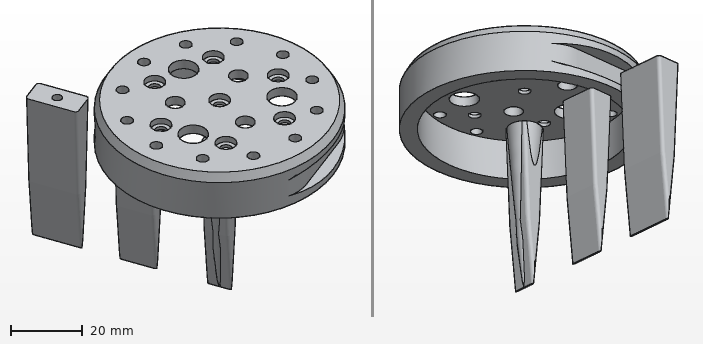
import cadquery as cq
import math


overall_length = 93.0
disc_diameter = 70.0
disc_radius = disc_diameter / 2
disc_height = 15.0
rim_chamfer_width = 1.5
rim_chamfer_height = rim_chamfer_width * math.tan(math.radians(60))
wall_height = disc_height - rim_chamfer_height
plate_thickness = 3.0
cavity_diameter = 59.9

letter_hole_diameter = 3.5
letter_hole_count = 12
letter_circle_radius = 27.5
letter_start_angle = 180 / letter_hole_count
screw_hole_diameter = 3.5
screw_head_diameter = 6.0
screw_head_depth = 1.95
screw_hole_count = 6
screw_circle_radius = 20.0
small_hole_diameter = 5.5
small_circle_radius = 12.5
large_hole_diameter = 8.5
large_circle_radius = 17.5
trio_count = 3
small_start_angle = 90
large_start_angle = 30

grip_floor_x = 31.7
grip_flat_half_length = 10.5
grip_end_radius = 17.2
grip_end_angle = 35.0
grip_rim_half_height = 4.2
grip_flank_angle = 15.0
grip_clearance = 1.9

tool_length = 50.0
blade_top_thickness = 8.0
blade_knee_depth = 29.9
blade_knee_thickness = 5.0
blade_tip_thickness = 0.5
blade_edge_radius = 1.0
wide_blade_width = 16.0
medium_blade_width = 12.1
narrow_blade_width = 8.0
blade_spacing = (overall_length - disc_radius - wide_blade_width / 2) / 2
pilot_diameter = 2.9
pilot_depth = 10.0

spike_top_diameter = 10.0
spike_knee_depth = 36.3
spike_knee_diameter = 4.3
spike_nose_depth = 47.8
spike_nose_diameter = 1.4
spike_tip_diameter = 0.4


def drill(diameter, top_z, depth, points):
    """Vertical cylinders that start at top_z and go down."""
    return cq.Workplane("XY", origin=(0, 0, top_z)).pushPoints(points).circle(diameter / 2).extrude(-depth)


def ring_points(radius, count, start_angle):
    """Evenly spaced points on a circle around the disc axis."""
    angles = [math.radians(start_angle + 360 * i / count) for i in range(count)]
    return [(radius * math.cos(a), radius * math.sin(a)) for a in angles]


def make_grip_cutter():
    """Finger grip on the +X side: a flat floor that rolls off at both ends, with flared flanks."""
    outer_x = disc_radius + grip_clearance
    angle = math.radians(grip_end_angle)

    def roll_off(turn):
        x = grip_floor_x - grip_end_radius * (1 - math.cos(turn))
        y = grip_flat_half_length + grip_end_radius * math.sin(turn)
        return x, y

    mid_x, mid_y = roll_off(angle / 2)
    end_x, end_y = roll_off(angle)
    plan = (
        cq.Workplane("XY")
        .moveTo(grip_floor_x, -grip_flat_half_length)
        .lineTo(grip_floor_x, grip_flat_half_length)
        .threePointArc((mid_x, mid_y), (end_x, end_y))
        .lineTo(outer_x, end_y)
        .lineTo(outer_x, -end_y)
        .lineTo(end_x, -end_y)
        .threePointArc((mid_x, -mid_y), (grip_floor_x, -grip_flat_half_length))
        .close()
        .extrude(wall_height)
    )

    slope = math.tan(math.radians(grip_flank_angle))
    inner_half = grip_rim_half_height - slope * (disc_radius - end_x)
    outer_half = grip_rim_half_height + slope * grip_clearance
    middle_z = wall_height / 2
    flare = (
        cq.Workplane("XZ")
        .polyline([
            (end_x, middle_z - inner_half),
            (outer_x, middle_z - outer_half),
            (outer_x, middle_z + outer_half),
            (end_x, middle_z + inner_half),
        ])
        .close()
        .extrude(end_y, both=True)
    )
    return plan.intersect(flare)


def make_disc():
    top_radius = disc_radius - rim_chamfer_width
    cavity_radius = cavity_diameter / 2
    plate_bottom = disc_height - plate_thickness
    disc = (
        cq.Workplane("XZ")
        .polyline([
            (0, plate_bottom),
            (cavity_radius, plate_bottom),
            (cavity_radius, 0),
            (disc_radius, 0),
            (disc_radius, wall_height),
            (top_radius, disc_height),
            (0, disc_height),
        ])
        .close()
        .revolve(360, (0, 0, 0), (0, 1, 0))
    )

    letter_points = ring_points(letter_circle_radius, letter_hole_count, letter_start_angle)
    small_points = ring_points(small_circle_radius, trio_count, small_start_angle)
    large_points = ring_points(large_circle_radius, trio_count, large_start_angle)
    disc = disc.cut(drill(letter_hole_diameter, disc_height, plate_thickness, letter_points))
    disc = disc.cut(drill(small_hole_diameter, disc_height, plate_thickness, small_points))
    disc = disc.cut(drill(large_hole_diameter, disc_height, plate_thickness, large_points))

    screw_points = [(0, 0)] + ring_points(screw_circle_radius, screw_hole_count, 0)
    disc = disc.cut(drill(screw_hole_diameter, disc_height, plate_thickness, screw_points))
    disc = disc.cut(drill(screw_head_diameter, disc_height, screw_head_depth, screw_points))

    grip = make_grip_cutter()
    return disc.cut(grip).cut(grip.mirror("YZ"))


def make_blade_half(width):
    """Blade bounded by its sloped -Y face only, with the two vertical edges of that face rounded."""
    half_width = width / 2
    radius = blade_edge_radius
    diagonal = radius * (1 - math.sqrt(0.5))
    sections = [
        (0, blade_top_thickness),
        (-blade_knee_depth, blade_knee_thickness),
        (-tool_length, blade_tip_thickness),
    ]
    wires = []
    for z, thickness in sections:
        front = -thickness / 2
        back = front + blade_top_thickness
        outline = (
            cq.Workplane("XY", origin=(0, 0, z))
            .moveTo(-half_width + radius, front)
            .lineTo(half_width - radius, front)
            .threePointArc((half_width - diagonal, front + diagonal), (half_width, front + radius))
            .lineTo(half_width, back)
            .lineTo(-half_width, back)
            .lineTo(-half_width, front + radius)
            .threePointArc((-half_width + diagonal, front + diagonal), (-half_width + radius, front))
            .close()
        )
        wires.append(outline.val())
    return cq.Workplane(cq.Solid.makeLoft(wires, True))


def make_blade(width):
    """Two-stage wedge with rounded edges, centred on the Z axis."""
    half = make_blade_half(width)
    return half.intersect(half.mirror("XZ"))


def make_screwed_blade(width, x):
    """Blade with a screw pilot hole in its top, standing at x."""
    blade = make_blade(width).cut(drill(pilot_diameter, 0, pilot_depth, [(0, 0)]))
    return blade.translate((x, 0, 0))


def make_spike_body():
    """Round spike in three conical stages."""
    return (
        cq.Workplane("XZ")
        .polyline([
            (0, 0),
            (spike_top_diameter / 2, 0),
            (spike_knee_diameter / 2, -spike_knee_depth),
            (spike_nose_diameter / 2, -spike_nose_depth),
            (spike_tip_diameter / 2, -tool_length),
            (0, -tool_length),
        ])
        .close()
        .revolve(360, (0, 0, 0), (0, 1, 0))
    )


disc = make_disc()

screwed_blades = [
    make_screwed_blade(width, x)
    for width, x in [(wide_blade_width, -2 * blade_spacing), (medium_blade_width, -blade_spacing)]
]

spike_body = make_spike_body()
narrow_blade = make_blade(narrow_blade_width).cut(spike_body)
spike = spike_body.cut(drill(pilot_diameter, 0, pilot_depth, [(0, 0)]))

result = cq.Compound.makeCompound([
    disc.solids().val(),
    *[blade.solids().val() for blade in screwed_blades],
    narrow_blade.solids().val(),
    spike.solids().val(),
])